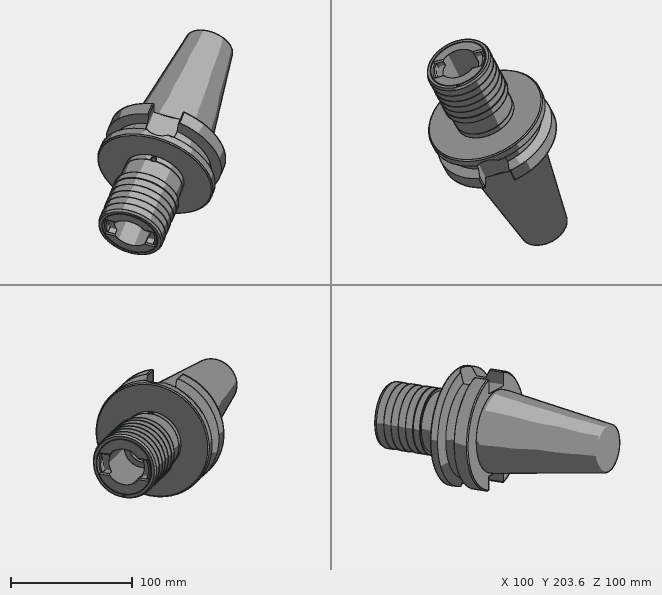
import cadquery as cq
import math


taper_length = 101.8
gauge_radius = 34.8
tail_radius = 20.1
tail_rounding = 1.2

flange_diameter = 100.0
flange_radius = flange_diameter / 2
flange_rear = -3.0
flange_front = -38.0
flange_chamfer = 1.0
groove_center = -23.2
groove_floor_width = 8.1
groove_mouth_width = 15.5
groove_floor_radius = 42.5

slot_width = 25.6
slot_floor = 35.5
slot_front = -34.8
slot_floor_fillet = 1.0
slot_edge_chamfer = 1.0

neck_diameter = 51.0
neck_radius = neck_diameter / 2
neck_root_radius = 25.2
neck_root_front = -42.7
neck_step_length = 0.6

nose_rear = -59
nose_front = -101.8
nose_radius = 27.9
nose_rear_chamfer = 0.5
nose_front_chamfer = 1.0
nose_front_chamfer_length = 2.2

score_y = -66.0
score_width = 0.6
score_depth = 0.2
band_width = 6.7
band_depth = 0.5
band_fronts = (-79.4, -92.8)

bore_radius = 15.7
bore_depth = 40.7
pilot_diameter = 21.8
pilot_depth = 61

key_width = 16.5
key_outer_radius = 21.2
key_depth = 6.1
key_floor_fillet = 0.6
key_mouth_radius = 23.8
key_mouth_bevel = 1.2

joint_radius = 24.2
joint_width = 0.5
joint_depth = 0.2
lock_hole_radius = 1.2
lock_hole_depth = 2
lock_hole_place = 25.0

neck_hole_radius = 2
neck_hole_mouth_radius = 2.8
neck_hole_depth = 6.1
neck_hole_y = -41.3

overrun = 2


def from_nose(depth):
    """Workplane at a depth behind the nose face; extruding by a negative length goes
    toward +Y, and local x and y are X and Z."""
    plane = cq.Plane(origin=(0, nose_front + depth, 0), xDir=(1, 0, 0), normal=(0, -1, 0))
    return cq.Workplane(plane)


def turned_body():
    floor_half = groove_floor_width / 2
    mouth_half = groove_mouth_width / 2
    profile = (
        cq.Workplane("XY")
        .moveTo(0, taper_length)
        .lineTo(tail_radius, taper_length)
        .lineTo(gauge_radius, 0)
        .lineTo(gauge_radius, flange_rear)
        .lineTo(flange_radius - flange_chamfer, flange_rear)
        .lineTo(flange_radius, flange_rear - flange_chamfer)
        .lineTo(flange_radius, groove_center + mouth_half)
        .lineTo(groove_floor_radius, groove_center + floor_half)
        .lineTo(groove_floor_radius, groove_center - floor_half)
        .lineTo(flange_radius, groove_center - mouth_half)
        .lineTo(flange_radius, flange_front + flange_chamfer)
        .lineTo(flange_radius - flange_chamfer, flange_front)
        .lineTo(neck_root_radius, flange_front)
        .lineTo(neck_root_radius, neck_root_front)
        .lineTo(neck_radius, neck_root_front - neck_step_length)
        .lineTo(neck_radius, nose_rear)
        .lineTo(nose_radius - nose_rear_chamfer, nose_rear)
        .lineTo(nose_radius, nose_rear - nose_rear_chamfer)
        .lineTo(nose_radius, nose_front + nose_front_chamfer_length)
        .lineTo(nose_radius - nose_front_chamfer, nose_front)
        .lineTo(0, nose_front)
        .close()
    )
    turned = profile.revolve(360, (0, 0, 0), (0, 1, 0))
    return turned.faces(">Y").edges().fillet(tail_rounding)


def nose_ring(front, width, depth):
    """Ring that cuts a shallow groove around the nose."""
    return (
        from_nose(front - nose_front)
        .circle(nose_radius + overrun)
        .circle(nose_radius - depth)
        .extrude(-width)
    )


def drive_slot():
    """Cutter for the drive slot on the +Z side."""
    half = slot_width / 2
    end_center = slot_front + half
    height = flange_radius - slot_floor
    rear = flange_rear + overrun
    slot = (
        cq.Workplane("XY")
        .workplane(offset=slot_floor)
        .moveTo(-half, rear)
        .lineTo(-half, end_center)
        .threePointArc((0, slot_front), (half, end_center))
        .lineTo(half, rear)
        .close()
        .extrude(height)
        .faces("<Z")
        .edges("not >Y")
        .fillet(slot_floor_fillet)
    )
    edge_half = half + slot_edge_chamfer
    edge_height = math.sqrt(flange_radius**2 - edge_half**2)
    bevel = (
        cq.Workplane("XZ", origin=(0, flange_rear, 0))
        .moveTo(-half, edge_height - slot_edge_chamfer)
        .lineTo(half, edge_height - slot_edge_chamfer)
        .lineTo(edge_half, edge_height)
        .lineTo(edge_half, flange_radius)
        .lineTo(-edge_half, flange_radius)
        .lineTo(-edge_half, edge_height)
        .close()
        .extrude(flange_rear - groove_center)
    )
    return slot.union(bevel)


def key_outline(width, end_radius):
    """Slot across the nose face whose round ends lie on a circle about the axis."""
    half = width / 2
    reach = math.sqrt(end_radius**2 - half**2)
    return (
        from_nose(0)
        .moveTo(-reach, half)
        .lineTo(reach, half)
        .threePointArc((end_radius, 0), (reach, -half))
        .lineTo(-reach, -half)
        .threePointArc((-end_radius, 0), (-reach, half))
        .close()
    )


def key_slots():
    slots = (
        key_outline(key_width, key_outer_radius)
        .extrude(-key_depth)
        .faces(">Y")
        .edges()
        .fillet(key_floor_fillet)
    )
    mouth_width = key_width + 2 * key_mouth_bevel
    mouth = key_outline(mouth_width, key_mouth_radius).extrude(-key_mouth_bevel, taper=45)
    return slots.union(mouth)


def nose_bore():
    bore = from_nose(0).circle(bore_radius).extrude(-bore_depth)
    pilot = from_nose(0).circle(pilot_diameter / 2).extrude(-pilot_depth)
    return bore.union(pilot)


def ring_joint():
    joint = (
        from_nose(0)
        .circle(joint_radius + joint_width / 2)
        .circle(joint_radius - joint_width / 2)
        .extrude(-joint_depth)
    )
    lock_hole = (
        from_nose(0)
        .center(0, -lock_hole_place)
        .circle(lock_hole_radius)
        .extrude(-lock_hole_depth)
    )
    return joint.union(lock_hole)


def neck_hole():
    """Cutter for the radial hole and its conical mouth."""
    top = cq.Workplane("XY", origin=(0, neck_hole_y, neck_radius))
    mouth = top.circle(neck_hole_mouth_radius).extrude(
        neck_hole_radius - neck_hole_mouth_radius, taper=45
    )
    return top.circle(neck_hole_radius).extrude(-neck_hole_depth).union(mouth)


result = turned_body()

for side in (0, 180):
    result = result.cut(drive_slot().rotate((0, 0, 0), (0, 1, 0), side))

result = result.cut(nose_ring(score_y, score_width, score_depth))
for band_front in band_fronts:
    result = result.cut(nose_ring(band_front, band_width, band_depth))

result = result.cut(nose_bore())
result = result.cut(key_slots())
result = result.cut(ring_joint())
result = result.cut(neck_hole())